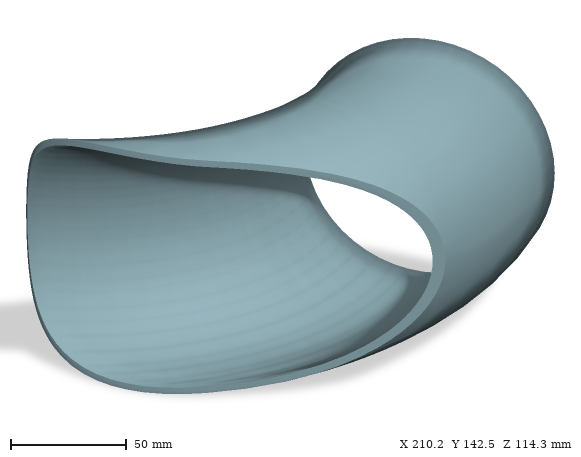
import cadquery as cq

pipe_diameter = 114.3
wall = 3.0
overall_length = 210.2
seam_x = 91.8

pipe_radius = pipe_diameter / 2
bend_radius = overall_length - pipe_radius
throat_radius = bend_radius - pipe_radius


def quarter_bend(radius):
    """Solid quarter torus about the Z axis, from the +X side round to the -Y side."""
    return (
        cq.Workplane("XZ")
        .center(bend_radius, 0)
        .circle(radius)
        .revolve(90, (-bend_radius, 0, 0), (-bend_radius, -1, 0))
    )


def mitre_y(x):
    """Parabola halfway between the bend centreline and the run pipe at y = -bend_radius."""
    return x**2 / (4 * bend_radius) - bend_radius


def kept_region():
    """Upright prism holding the part of the bend that lies inside the mitre."""
    far_x = 2 * bend_radius
    tangent_crossing = ((seam_x + far_x) / 2, seam_x / 2 - bend_radius)
    return (
        cq.Workplane("XY")
        .lineTo(far_x, 0)
        .bezier([tangent_crossing, (seam_x, mitre_y(seam_x))], includeCurrent=True)
        .tangentArcPoint((0, -throat_radius), relative=False)
        .close()
        .extrude(pipe_radius + wall, both=True)
    )


elbow = quarter_bend(pipe_radius).cut(quarter_bend(pipe_radius - wall))
result = elbow.intersect(kept_region())